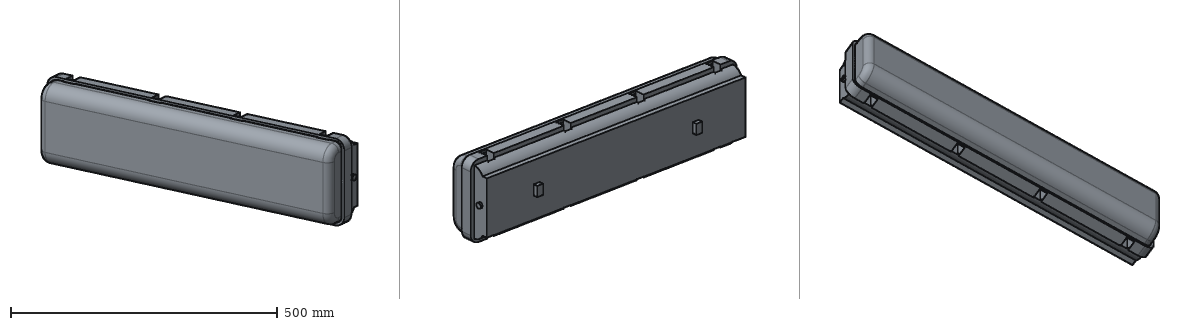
import cadquery as cq
LENGTH = 671.0
HEIGHT = 173.0

RIM_BACK = 35.0
RIM_FRONT = 60.0
RIM_CORNER = 20.0

BACK_LENGTH = 652.0
BACK_HEIGHT = 124.0
BULGE_START = 12.0
BULGE_RISE = 15.0
BULGE_RADIUS = 30.0

SLOT_WIDTH = 17.0
SLOT_BACK = 31.5
SLOT_FRONT = 56.5
SLOT_POSITIONS = (-286.0, -92.0, 92.0, 286.0)

POST_WIDTH = 15.0
POST_HEIGHT = 23.5
POST_DEPTH = 10.0
POST_POSITIONS = (-200.5, 200.5)

STUD_DIAMETER = 12.0
STUD_LENGTH = 5.0
STUD_DEPTH = 18.0

COVER_MARGIN = 6.4
COVER_DEPTH = 40.0
COVER_LONG_RADIUS = 29.5
COVER_END_RADIUS = 15.5
COVER_LENGTH = LENGTH - 2 * COVER_MARGIN
COVER_HEIGHT = HEIGHT - 2 * COVER_MARGIN

SEAT_DEPTH = 2.0
SEAT_GAP = 1.0
SEAT_BACK = RIM_FRONT - SEAT_DEPTH

PAD_WIDTH = 26.0


def block(length, height, back, front):
    """Box centred in X and Z, spanning depth back to depth front, measured towards -Y."""
    return cq.Workplane("XY").box(length, front - back, height).translate((0, -(back + front) / 2, 0))


def make_back():
    """Tray extruded along X, with an arched bulge between its flat sides and the rim."""
    side = BACK_HEIGHT / 2
    bulge_top = side + BULGE_RISE
    return (
        cq.Workplane("YZ")
        .moveTo(0, -side)
        .lineTo(0, side)
        .lineTo(-BULGE_START, side)
        .radiusArc((-RIM_BACK, bulge_top), -BULGE_RADIUS)
        .lineTo(-RIM_BACK, -bulge_top)
        .radiusArc((-BULGE_START, -side), -BULGE_RADIUS)
        .close()
        .extrude(BACK_LENGTH / 2, both=True)
    )


def make_rim():
    """Rounded band with the cover seat cut into its front, padded in front of the slots."""
    rim = block(LENGTH, HEIGHT, RIM_BACK, RIM_FRONT).edges("|Y").fillet(RIM_CORNER)
    seat = block(COVER_LENGTH, COVER_HEIGHT + 2 * SEAT_GAP, SEAT_BACK, RIM_FRONT)
    rim = rim.cut(seat.edges("|Y").fillet(COVER_END_RADIUS))
    pad_height = (COVER_HEIGHT + SEAT_GAP) / 2
    for x in SLOT_POSITIONS:
        pad = block(PAD_WIDTH, SEAT_GAP, SEAT_BACK, RIM_FRONT).translate((x, 0, pad_height))
        rim = rim.union(pad)
    return rim


def make_housing():
    """Back, rim, posts and studs in one piece, pierced by the clip slots."""
    housing = make_back().union(make_rim())
    for x in POST_POSITIONS:
        housing = housing.union(block(POST_WIDTH, POST_HEIGHT, -POST_DEPTH, RIM_BACK).translate((x, 0, 0)))
    studs = (
        cq.Workplane("YZ")
        .center(-STUD_DEPTH, 0)
        .circle(STUD_DIAMETER / 2)
        .extrude(BACK_LENGTH / 2 + STUD_LENGTH, both=True)
    )
    housing = housing.union(studs)
    for x in SLOT_POSITIONS:
        housing = housing.cut(block(SLOT_WIDTH, HEIGHT, SLOT_BACK, SLOT_FRONT).translate((x, 0, 0)))
    return housing


def make_cover():
    """Dome with a large round along its length and a smaller round at both ends."""
    cover = block(COVER_LENGTH, COVER_HEIGHT, SEAT_BACK, RIM_FRONT + COVER_DEPTH)
    cover = cover.faces("<Y").edges("|X").fillet(COVER_LONG_RADIUS)
    return cover.faces("<X or >X").edges("not >Y").fillet(COVER_END_RADIUS)


housing = make_housing()
cover = make_cover()

result = cq.Compound.makeCompound([housing.val(), cover.val()])